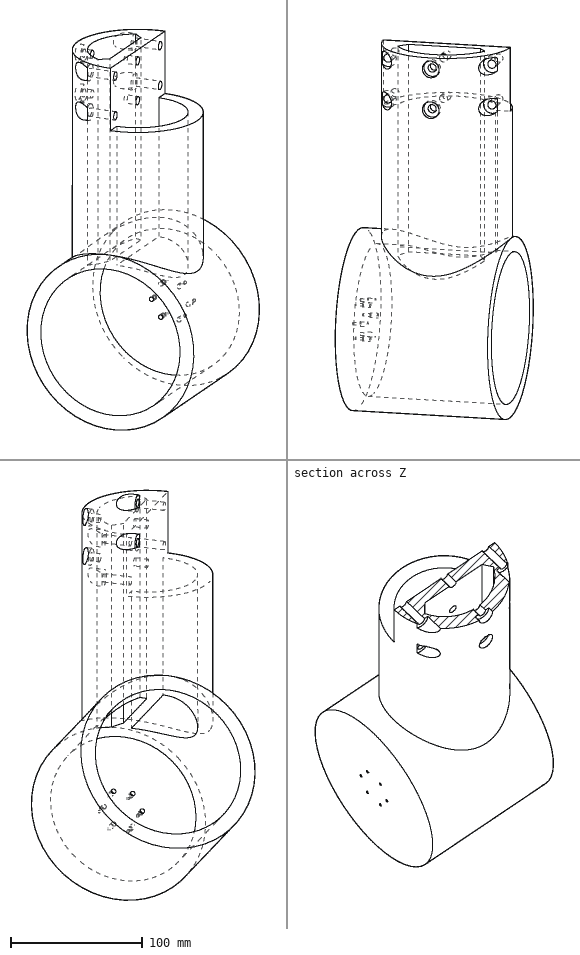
import cadquery as cq
import math

total_height = 290.0
wall = 11.5

drum_diameter = 140.0
drum_length = 120.0
drum_radius = drum_diameter / 2
bore_radius = drum_radius - wall
plate_thickness = wall

post_diameter = 100.0
post_radius = post_diameter / 2
post_bore_radius = post_radius - wall
post_y = post_radius
post_top = total_height - drum_radius
step_height = post_radius
web_thickness = 10.2

rear_corner_web_y = 27.5
rear_corner_bore_y = 34.2
front_corner_web_y = 29.0
front_corner_bore_y = 34.2

screw_hole_diameter = 6.5
screw_head_diameter = 13.0
outer_seat_x = -21.5
middle_seat_depth = 5.0
screw_spacing_y = 41.0
screw_spacing_z = 32.0
screw_edge_distance = 9.0

plate_hole_count = 6
plate_hole_circle_radius = 15.5
plate_hole_diameter = 2.0
plate_head_diameter = 3.5
plate_head_depth = plate_thickness / 2


def cylinder_y(radius, start, length):
    """Solid cylinder on the drum axis, running toward +Y."""
    return cq.Workplane(cq.Solid.makeCylinder(radius, length, cq.Vector(0, start, 0), cq.Vector(0, 1, 0)))


def post_body():
    """Round post with its +X half cut down to form a step."""
    post = cq.Workplane().center(0, post_y).circle(post_radius).extrude(post_top)
    step = (
        cq.Workplane()
        .workplane(offset=post_top - step_height)
        .center(post_radius / 2, post_y)
        .rect(post_radius, 2 * post_radius)
        .extrude(step_height)
    )
    return post.cut(step)


def bore_x(bore_y):
    """X of the -X side of the post bore at a distance bore_y from its axis."""
    return -math.sqrt(post_bore_radius**2 - bore_y**2)


def post_cavities():
    """Two passages, one on each side of the web, that open into the drum."""
    half_round = (
        cq.Workplane()
        .center(0, post_y)
        .moveTo(0, -post_bore_radius)
        .threePointArc((post_bore_radius, 0), (0, post_bore_radius))
        .close()
        .extrude(post_top)
    )
    pocket = (
        cq.Workplane()
        .center(0, post_y)
        .moveTo(-web_thickness, -front_corner_web_y)
        .lineTo(-web_thickness, rear_corner_web_y)
        .lineTo(bore_x(rear_corner_bore_y), rear_corner_bore_y)
        .threePointArc((-post_bore_radius, 0), (bore_x(front_corner_bore_y), -front_corner_bore_y))
        .close()
        .extrude(post_top)
    )
    return half_round.union(pocket)


def screw_cuts():
    """Counterbored screw holes: three across the post in each of two rows."""
    top_row_z = post_top - screw_edge_distance
    rows = [top_row_z, top_row_z - screw_spacing_z]
    seat_depths = {-1: post_radius + outer_seat_x, 0: middle_seat_depth, 1: post_radius + outer_seat_x}
    outer_side = cq.Workplane("YZ", origin=(-post_radius, 0, 0))
    cuts = cq.Workplane()
    for column, seat_depth in seat_depths.items():
        points = [(post_y + column * screw_spacing_y, z) for z in rows]
        column_side = outer_side.pushPoints(points)
        cuts = cuts.add(column_side.circle(screw_hole_diameter / 2).extrude(post_radius))
        cuts = cuts.add(column_side.circle(screw_head_diameter / 2).extrude(seat_depth))
    return cuts.combine()


def plate_holes():
    """Ring of holes in the closed end of the drum, counterbored from inside."""
    ring = cq.Workplane("XZ", origin=(0, drum_length - plate_thickness, 0)).polarArray(
        plate_hole_circle_radius, 0, 360, plate_hole_count
    )
    holes = ring.circle(plate_hole_diameter / 2).extrude(-plate_thickness)
    heads = ring.circle(plate_head_diameter / 2).extrude(-plate_head_depth)
    return holes.union(heads)


result = (
    cylinder_y(drum_radius, 0, drum_length)
    .union(post_body())
    .cut(cylinder_y(bore_radius, 0, drum_length - plate_thickness))
    .cut(post_cavities())
    .cut(screw_cuts())
    .cut(plate_holes())
)